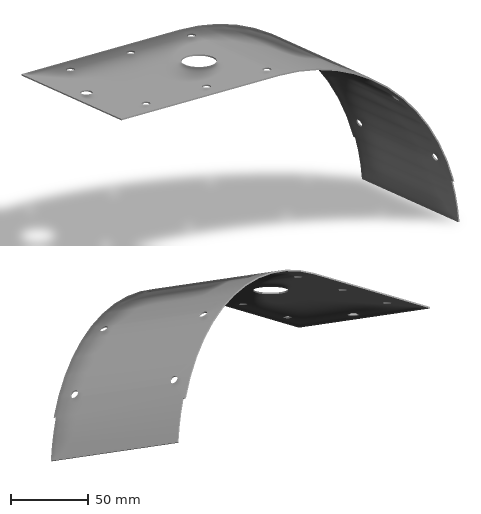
import cadquery as cq
import math

width = 104.0
length = 280.5
flat_length = 130.0
thickness = 1.0
outer_radius = 151.0
inner_radius = outer_radius - thickness

end_width = 100.5
end_strip_drop = 108.0

fixing_diameter = 5.5
row_spacing = 78.8
flat_pitch = 50.0
flat_hole_count = 3
bend_hole_angles = (22.5, 45.0, 67.5)

large_diameter = 23.0
large_distance = 25.0
small_diameter = 7.9
small_edge_distance = 12.3

bend_angle = math.asin((length - flat_length) / outer_radius)
cutter_depth = 4 * thickness


def bend_point(radius, angle):
    """Y and Z of a point on the bend, with the angle measured from vertical."""
    return radius * math.sin(angle), radius * math.cos(angle) - outer_radius


def curved_plate():
    return (
        cq.Workplane("YZ")
        .moveTo(-flat_length, 0)
        .lineTo(0, 0)
        .threePointArc(bend_point(outer_radius, bend_angle / 2), bend_point(outer_radius, bend_angle))
        .lineTo(*bend_point(inner_radius, bend_angle))
        .threePointArc(bend_point(inner_radius, bend_angle / 2), (0, -thickness))
        .lineTo(-flat_length, -thickness)
        .close()
        .extrude(width / 2, both=True)
    )


def end_notch(side):
    """Block that trims one side of the free end."""
    notch_width = (width - end_width) / 2
    return cq.Workplane("XY").box(notch_width, length, length, centered=(True, True, False)).translate(
        (side * (width - notch_width) / 2, length / 2, -end_strip_drop - length)
    )


def hole_cutter(x, y, diameter):
    """Vertical cylinder through the top face."""
    return (
        cq.Workplane("XY")
        .center(x, y)
        .circle(diameter / 2)
        .extrude(cutter_depth, both=True)
    )


result = curved_plate()

for side in (-1, 1):
    result = result.cut(end_notch(side))
    row_x = side * row_spacing / 2
    for index in range(flat_hole_count):
        result = result.cut(hole_cutter(row_x, -index * flat_pitch, fixing_diameter))
    for angle in bend_hole_angles:
        radial_cutter = hole_cutter(row_x, 0, fixing_diameter).rotate(
            (0, 0, -outer_radius), (1, 0, -outer_radius), -angle
        )
        result = result.cut(radial_cutter)

result = result.cut(hole_cutter(0, -large_distance, large_diameter))
result = result.cut(hole_cutter(0, small_edge_distance - flat_length, small_diameter))